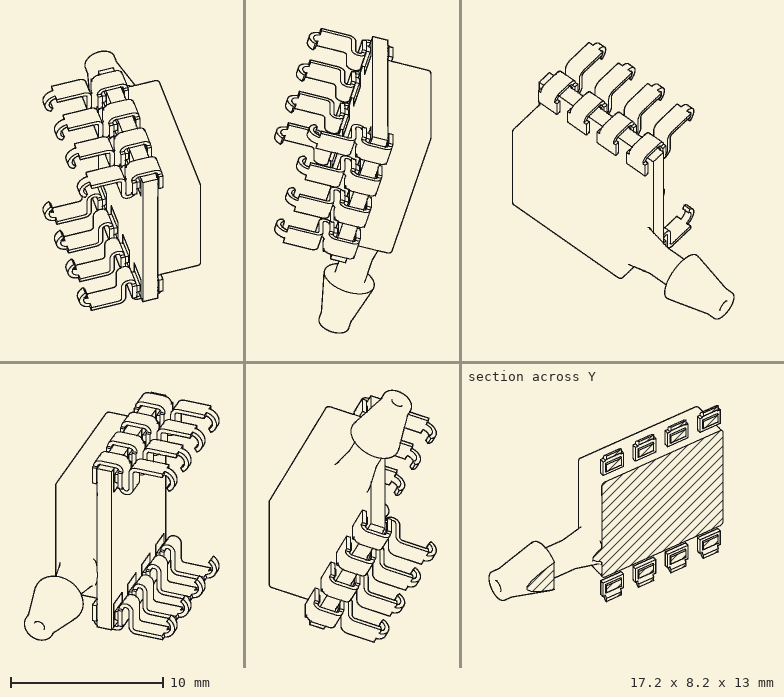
import cadquery as cq
import math


board_width = 9.89
board_thickness = 1.03
board_height = 12.42
centre_x = 12.25

housing_width = 9.53
housing_height = 8.43
housing_back_y = 4.11
housing_edge_radius = 0.25
base_flare_radius = 0.19
flare_plate_margin = 1.72
edge_search_margin = 0.09

nozzle_y = 2.34
nozzle_z = -2.13
neck_radius = 1.03
barb_radius = 1.72
barb_start_x = 0.69
barb_lip_x = 3.63
barb_end_x = 3.73
neck_fillet = 0.12
neck_end_x = 5.71
root_taper_deg = 11.0
root_fillet = 0.1
root_overlap = 0.17
tip_fillet = 0.12
bore_radius = 0.38
bore_mouth_radius = 0.15

lead_count = 4
lead_pitch = 2.55
lead_width = 1.2
lead_thickness = 0.3
lead_bend = 0.36
hairpin_radius = 0.35
back_leg_y = 1.35
front_leg_y = -0.46
leg_end_z = 4.78
tab_width = 1.62
curl_outer_radius = 0.8
curl_centre_y = -3.29
curl_width = 0.5
curl_sweep_deg = 150.0
shoulder_sweep_deg = 7.5

pad_width = 1.51
pad_thickness = 0.02
pad_end_z = 4.39
bump_board_height = 0.58
bump_clip_height = 0.75

board_top_z = board_height / 2
lead_mid_z = board_top_z + lead_thickness / 2
bend_start_z = lead_mid_z - lead_bend
rear_leg_y = front_leg_y - 2 * hairpin_radius
tab_mid_z = (leg_end_z + bend_start_z) / 2
housing_left_x = centre_x - housing_width / 2
housing_right_x = centre_x + housing_width / 2
lead_xs = [centre_x + (i - (lead_count - 1) / 2) * lead_pitch for i in range(lead_count)]


def block(width, y_front, y_back, z_low, z_high, x_mid):
    """Box centred on x_mid that spans the given Y and Z ranges."""
    size = (width, y_back - y_front, z_high - z_low)
    middle = (x_mid, (y_front + y_back) / 2, (z_low + z_high) / 2)
    return cq.Workplane("XY").box(*size).translate(middle)


def make_board():
    return block(board_width, 0, board_thickness, -board_top_z, board_top_z, centre_x)


def make_housing():
    """Rounded box whose base flares out in a concave fillet where it meets the board."""
    half_height = housing_height / 2
    body = block(housing_width, 0, housing_back_y, -half_height, half_height, centre_x)
    body = body.edges("|Y").fillet(housing_edge_radius)
    body = body.faces(">Y").edges().fillet(housing_edge_radius)

    plate_width = housing_width + 2 * flare_plate_margin
    plate_top = half_height + flare_plate_margin
    plate = block(plate_width, 0, board_thickness, -plate_top, plate_top, centre_x)
    margin = edge_search_margin
    base_edges = cq.selectors.BoxSelector(
        (housing_left_x - margin, board_thickness - margin, -half_height - margin),
        (housing_right_x + margin, board_thickness + margin, half_height + margin),
    )
    flared = plate.union(body).edges(base_edges).fillet(base_flare_radius)
    return flared.cut(plate)


def make_nozzle():
    """Turned nozzle with one barb, a tapered and filleted root, and a rounded bore mouth."""
    buried_x = housing_left_x + root_overlap
    taper_end_x = housing_left_x - root_fillet
    taper_end_radius = neck_radius + (taper_end_x - neck_end_x) * math.tan(math.radians(root_taper_deg))
    diagonal = math.sqrt(0.5)
    tip_arc_mid = (tip_fillet * (1 - diagonal), neck_radius - tip_fillet * (1 - diagonal))
    mouth_arc_mid = (
        bore_mouth_radius * (1 - diagonal),
        bore_radius + bore_mouth_radius * (1 - diagonal),
    )
    neck_arc_mid = (
        barb_end_x + neck_fillet * (1 - diagonal),
        neck_radius + neck_fillet * (1 - diagonal),
    )
    profile = (
        cq.Workplane("XZ")
        .moveTo(bore_mouth_radius, bore_radius)
        .threePointArc(mouth_arc_mid, (0, bore_radius + bore_mouth_radius))
        .lineTo(0, neck_radius - tip_fillet)
        .threePointArc(tip_arc_mid, (tip_fillet, neck_radius))
        .lineTo(barb_start_x, neck_radius)
        .lineTo(barb_lip_x, barb_radius)
        .lineTo(barb_end_x, barb_radius)
        .lineTo(barb_end_x, neck_radius + neck_fillet)
        .threePointArc(neck_arc_mid, (barb_end_x + neck_fillet, neck_radius))
        .lineTo(neck_end_x, neck_radius)
        .lineTo(taper_end_x, taper_end_radius)
        .tangentArcPoint((housing_left_x, taper_end_radius + root_fillet), relative=False)
        .lineTo(buried_x, taper_end_radius + root_fillet)
        .lineTo(buried_x, 0)
        .lineTo(housing_left_x, 0)
        .lineTo(housing_left_x, bore_radius)
        .close()
    )
    turned = profile.revolve(360, (0, 0, 0), (1, 0, 0))
    return turned.translate((0, nozzle_y, nozzle_z))


def make_clip_strip(x):
    """Bent strip: over the board edge, round a hairpin and out to the shoulder."""
    path = (
        cq.Workplane("YZ", origin=(x, 0, 0))
        .moveTo(back_leg_y, leg_end_z)
        .lineTo(back_leg_y, bend_start_z)
        .tangentArcPoint((back_leg_y - lead_bend, lead_mid_z), relative=False)
        .lineTo(front_leg_y + lead_bend, lead_mid_z)
        .tangentArcPoint((front_leg_y, bend_start_z), relative=False)
        .lineTo(front_leg_y, leg_end_z)
        .tangentArcPoint((rear_leg_y, leg_end_z), relative=False)
        .lineTo(rear_leg_y, bend_start_z)
        .tangentArcPoint((rear_leg_y - lead_bend, lead_mid_z), relative=False)
        .lineTo(curl_centre_y, lead_mid_z)
    )
    section = cq.Workplane("XY", origin=(x, back_leg_y, leg_end_z))
    return section.rect(lead_width, lead_thickness).sweep(path)


def make_curl(x, width, sweep_deg):
    """Hooked end of a lead, bent back toward the board's middle."""
    centre_z = board_top_z + lead_thickness - curl_outer_radius
    inner_radius = curl_outer_radius - lead_thickness

    def on_arc(radius, turn_deg):
        turn = math.radians(turn_deg)
        return (curl_centre_y - radius * math.sin(turn), centre_z + radius * math.cos(turn))

    return (
        cq.Workplane("YZ", origin=(x - width / 2, 0, 0))
        .moveTo(*on_arc(curl_outer_radius, 0))
        .threePointArc(
            on_arc(curl_outer_radius, sweep_deg / 2),
            on_arc(curl_outer_radius, sweep_deg),
        )
        .lineTo(*on_arc(inner_radius, sweep_deg))
        .threePointArc(on_arc(inner_radius, sweep_deg / 2), on_arc(inner_radius, 0))
        .close()
        .extrude(width)
    )


def make_tab(x, leg_y):
    """Widened stretch of a clip leg."""
    half = lead_thickness / 2
    return block(tab_width, leg_y - half, leg_y + half, leg_end_z, bend_start_z, x)


def make_bump(x, board_y, clip_y):
    """Solder wedge, as wide as the lead, from the board face to the taller end at the clip leg."""
    outline = [
        (board_y, tab_mid_z - bump_board_height / 2),
        (clip_y, tab_mid_z - bump_clip_height / 2),
        (clip_y, tab_mid_z + bump_clip_height / 2),
        (board_y, tab_mid_z + bump_board_height / 2),
    ]
    start = cq.Workplane("YZ", origin=(x - lead_width / 2, 0, 0))
    return start.polyline(outline).close().extrude(lead_width)


def make_lead(x):
    """Complete upper lead with its tabs, bumps and front contact pad."""
    half = lead_thickness / 2
    lead = make_clip_strip(x)
    lead = lead.union(make_curl(x, lead_width, shoulder_sweep_deg))
    lead = lead.union(make_curl(x, curl_width, curl_sweep_deg))
    for leg_y in (back_leg_y, front_leg_y):
        lead = lead.union(make_tab(x, leg_y))
    lead = lead.union(make_bump(x, board_thickness, back_leg_y - half))
    lead = lead.union(make_bump(x, 0, front_leg_y + half))
    return lead.union(block(pad_width, -pad_thickness, 0, pad_end_z, board_top_z, x))


result = make_board().union(make_housing()).union(make_nozzle())
for lead_x in lead_xs:
    upper_lead = make_lead(lead_x)
    result = result.union(upper_lead).union(upper_lead.mirror("XY"))